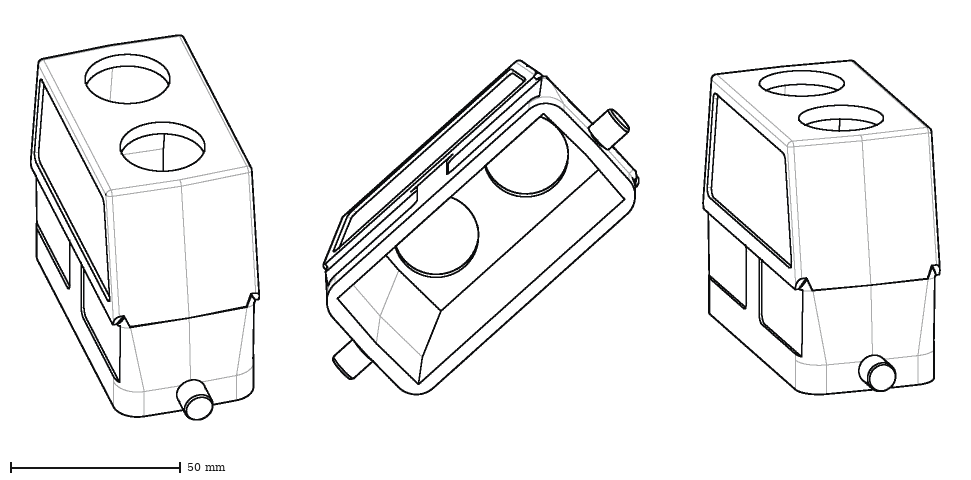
import cadquery as cq
import math

overall_length = 111.7
overall_width = 45.0
overall_height = 75.6

skirt_half_length = 46.6
skirt_half_width = 21.5
band_height = 9.2
step_height = 32.0
step_half_length = 45.0
band_corner_radius = 7.4
step_corner_radius = 3.6

hood_half_width = overall_width / 2
hood_bottom_half_length = 45.0
hood_top_half_length = 36.7
hood_edge_radius = 1.6
hood_end_slope = (hood_bottom_half_length - hood_top_half_length) / (overall_height - step_height)

hood_ridge_angle = 2.5
skirt_ridge_angle = 1.2

peak_height = 35.6
peak_inner_y = 18.0
peak_tip_y = 19.5

relief_inner_x = 41.9
relief_slope = 2.4

side_wall = 3.8
end_wall = 4.5
roof_thickness = 4.2

entry_diameter = 25.0
entry_spacing = 36.0

window_bottom = 37.1
window_top = 70.9
window_bottom_half_length = 39.0
window_depth = 1.1
window_draft = 0.6
window_corner_radius = 2.2

pocket_bottom = 11.1
pocket_inner_x = 5.9
pocket_depth = 0.84
pocket_corner_radius = 2.5

pin_diameter = 8.8
pin_tip_diameter = 8.0
pin_chamfer_length = 0.8
pin_neck_diameter = 5.1
pin_neck_length = 0.6
pin_height = 6.5


def ridged_section(half_length, half_width, ridge_angle, corner_radius, z):
    """Closed outline: a rectangle with ridged ends and rounded corners (sharp if the radius is 0)."""
    corner_x = half_length - half_width * math.tan(math.radians(ridge_angle))
    points = [
        (half_length, 0),
        (corner_x, half_width),
        (-corner_x, half_width),
        (-half_length, 0),
        (-corner_x, -half_width),
        (corner_x, -half_width),
    ]
    wire = cq.Wire.makePolygon([cq.Vector(x, y, z) for x, y in points], close=True)
    if corner_radius == 0:
        return wire
    corners = [v for v in wire.Vertices() if abs(v.Y) > half_width / 2]
    return wire.fillet2D(corner_radius, corners)


def straight_loft(*sections):
    """Solid with straight walls between the given outlines."""
    return cq.Workplane(obj=cq.Solid.makeLoft(list(sections), True))


def skirt_taper(top_z):
    """Tapered part of the skirt; the taper continues if top_z is above the step."""
    rise = (top_z - band_height) / (step_height - band_height)
    top_half_length = skirt_half_length + rise * (step_half_length - skirt_half_length)
    top_radius = band_corner_radius + rise * (step_corner_radius - band_corner_radius)
    return straight_loft(
        ridged_section(skirt_half_length, skirt_half_width, skirt_ridge_angle, band_corner_radius, band_height),
        ridged_section(top_half_length, skirt_half_width, skirt_ridge_angle, top_radius, top_z),
    )


def make_skirt():
    band = straight_loft(
        ridged_section(skirt_half_length, skirt_half_width, skirt_ridge_angle, band_corner_radius, 0),
        ridged_section(skirt_half_length, skirt_half_width, skirt_ridge_angle, band_corner_radius, band_height),
    )
    return band.union(skirt_taper(step_height))


def make_corner_peaks():
    """Continuation of the skirt corners above the step, trimmed to points."""
    points = [(peak_inner_y, step_height), (peak_tip_y, peak_height), (skirt_half_width, step_height)]
    trim = cq.Workplane("YZ").polyline(points).close().extrude(overall_length / 2, both=True)
    trim = trim.union(trim.mirror("XZ"))
    return skirt_taper(peak_height).intersect(trim)


def make_hood():
    hood = straight_loft(
        ridged_section(hood_bottom_half_length, hood_half_width, hood_ridge_angle, 0, step_height),
        ridged_section(hood_top_half_length, hood_half_width, hood_ridge_angle, 0, overall_height),
    )
    sloped_corners = [e for e in hood.edges("not #Z").vals() if abs(e.Center().y) > hood_half_width / 2]
    roof_edges = hood.edges(">Z").vals()
    return hood.newObject(sloped_corners + roof_edges).fillet(hood_edge_radius)


def make_corner_reliefs():
    """Wedges that trim the hood corners where they overhang the skirt."""
    outer_x = overall_length / 2
    relief_rise = (outer_x - relief_inner_x) * relief_slope
    points = [(relief_inner_x, step_height), (outer_x, step_height), (outer_x, step_height + relief_rise)]
    wedge = (
        cq.Workplane("XZ", origin=(0, -peak_tip_y, 0))
        .polyline(points)
        .close()
        .extrude(overall_width)
    )
    pair = wedge.union(wedge.mirror("YZ"))
    return pair.union(pair.mirror("XZ"))


def make_cavity():
    cavity_top = overall_height - roof_thickness
    top_half_length = hood_top_half_length + roof_thickness * hood_end_slope - end_wall
    inner_half_width = skirt_half_width - side_wall

    def inner_section(half_length, z):
        return ridged_section(half_length, inner_half_width, hood_ridge_angle, 0, z)

    lower = straight_loft(
        inner_section(skirt_half_length - end_wall, 0),
        inner_section(step_half_length - end_wall, step_height),
    )
    upper = straight_loft(
        inner_section(step_half_length - end_wall, step_height),
        inner_section(top_half_length, cavity_top),
    )
    return lower.union(upper)


def window_outline(y, inset):
    """Trapezoid with sides parallel to the hood ends, drawn in plane y."""
    top = window_top - inset
    bottom_half = window_bottom_half_length - inset
    top_half = bottom_half - (top - window_bottom) * hood_end_slope
    points = [
        (-bottom_half, window_bottom),
        (bottom_half, window_bottom),
        (top_half, top),
        (-top_half, top),
    ]
    wire = cq.Wire.makePolygon([cq.Vector(x, y, z) for x, z in points], close=True)
    return wire.fillet2D(window_corner_radius, wire.Vertices())


def make_windows():
    window = straight_loft(
        window_outline(-hood_half_width, 0),
        window_outline(-hood_half_width + window_depth, window_draft),
    )
    return window.union(window.mirror("XZ"))


def make_pockets():
    length = overall_length / 2 - pocket_inner_x
    height = step_height - pocket_bottom
    pocket = (
        cq.Workplane("XY")
        .box(length, 2 * pocket_depth, height, centered=(False, True, False))
        .edges("|Y and <X")
        .fillet(pocket_corner_radius)
        .translate((pocket_inner_x, -skirt_half_width, pocket_bottom))
    )
    pair = pocket.union(pocket.mirror("YZ"))
    return pair.union(pair.mirror("XZ"))


def make_pin():
    """Pin on the +X end: a thin neck and a thicker head with a chamfered tip."""
    tip_x = overall_length / 2
    neck_start = skirt_half_length - end_wall / 2
    head_start = skirt_half_length + pin_neck_length
    profile = [
        (neck_start, 0),
        (neck_start, pin_neck_diameter / 2),
        (head_start, pin_neck_diameter / 2),
        (head_start, pin_diameter / 2),
        (tip_x - pin_chamfer_length, pin_diameter / 2),
        (tip_x, pin_tip_diameter / 2),
        (tip_x, 0),
    ]
    pin = cq.Workplane("XY").polyline(profile).close().revolve(360, (0, 0, 0), (1, 0, 0))
    return pin.translate((0, 0, pin_height))


entry_holes = (
    cq.Workplane("XY")
    .workplane(offset=step_height)
    .rarray(entry_spacing, 1.1, 2, 1)
    .circle(entry_diameter / 2)
    .extrude(overall_height)
)
pin = make_pin()

result = (
    make_skirt()
    .cut(make_pockets())
    .union(make_hood().cut(make_corner_reliefs()))
    .union(make_corner_peaks())
    .cut(make_windows())
    .cut(make_cavity())
    .cut(entry_holes)
    .union(pin)
    .union(pin.mirror("YZ"))
)